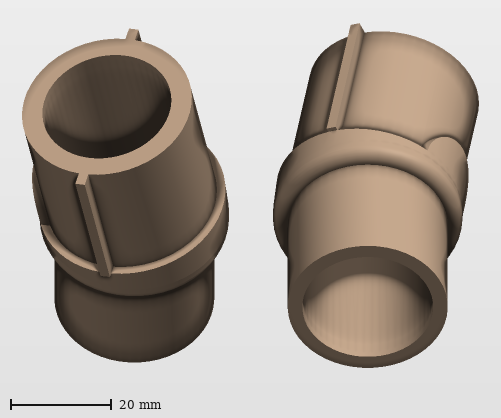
import cadquery as cq
import math

bend_angle = 10.0
overall_height = 65.85
bore_diameter = 26.0
spigot_diameter = 31.8
collar_diameter = 37.7
socket_diameter = 34.25

spigot_length = 24.95
collar_fillet = 2.5
collar_straight_top = 29.0
socket_length = 32.6
collar_rise = 2.7

rib_span = 39.45
rib_width = 2.0
tab_radius = 8.95

tilt = math.radians(bend_angle)
bend_height = (
    overall_height
    - socket_length * math.cos(tilt)
    - socket_diameter / 2 * math.sin(tilt)
)

socket_frame = cq.Plane(
    origin=(0, 0, bend_height),
    xDir=(math.cos(tilt), 0, math.sin(tilt)),
    normal=(-math.sin(tilt), 0, math.cos(tilt)),
)


def socket_plane(distance):
    """Workplane square to the socket axis, at a distance above the bend."""
    return cq.Workplane(socket_frame).workplane(offset=distance)


def make_spigot():
    return cq.Workplane("XY").circle(spigot_diameter / 2).extrude(collar_straight_top)


def make_collar():
    """Rounded straight ring, blended into a circle square to the socket."""
    ring = (
        cq.Workplane("XY", origin=(0, 0, spigot_length))
        .circle(collar_diameter / 2)
        .extrude(collar_straight_top - spigot_length)
        .faces("<Z")
        .edges()
        .fillet(collar_fillet)
    )
    lower_circle = cq.Workplane("XY", origin=(0, 0, collar_straight_top)).circle(collar_diameter / 2)
    upper_circle = socket_plane(collar_rise).circle(collar_diameter / 2)
    outlines = [lower_circle.val(), upper_circle.val()]
    return ring.union(cq.Workplane(cq.Solid.makeLoft(outlines, True)))


def make_socket():
    length = socket_length - collar_rise
    return socket_plane(collar_rise).circle(socket_diameter / 2).extrude(length)


def make_ribs():
    """One bar through the socket forms the two opposite ribs."""
    length = socket_length - collar_rise
    return socket_plane(collar_rise).rect(rib_width, rib_span).extrude(length)


def make_tab():
    """Half-round tab on the -X side, curved with the collar wall."""
    wall = socket_plane(collar_rise).circle(collar_diameter / 2).extrude(tab_radius)
    tab_plane = cq.Plane(
        origin=socket_frame.toWorldCoords((0, 0, collar_rise)),
        xDir=(0, 1, 0),
        normal=-socket_frame.xDir,
    )
    disc = cq.Workplane(tab_plane).circle(tab_radius).extrude(collar_diameter)
    return wall.intersect(disc)


def make_bore():
    """Vertical and tilted bores meeting at the mitre plane of the bend."""
    radius = bore_diameter / 2
    overrun = radius
    mitre = cq.Plane(
        origin=(0, 0, bend_height),
        xDir=(math.cos(tilt / 2), 0, math.sin(tilt / 2)),
        normal=(-math.sin(tilt / 2), 0, math.cos(tilt / 2)),
    )
    above = cq.Workplane(mitre).circle(overall_height).extrude(overall_height)
    lower = cq.Workplane("XY").circle(radius).extrude(bend_height + overrun).cut(above)
    upper = socket_plane(-overrun).circle(radius).extrude(socket_length + overrun).intersect(above)
    return lower.union(upper)


result = (
    make_spigot()
    .union(make_collar())
    .union(make_socket())
    .union(make_ribs())
    .union(make_tab())
    .cut(make_bore())
)